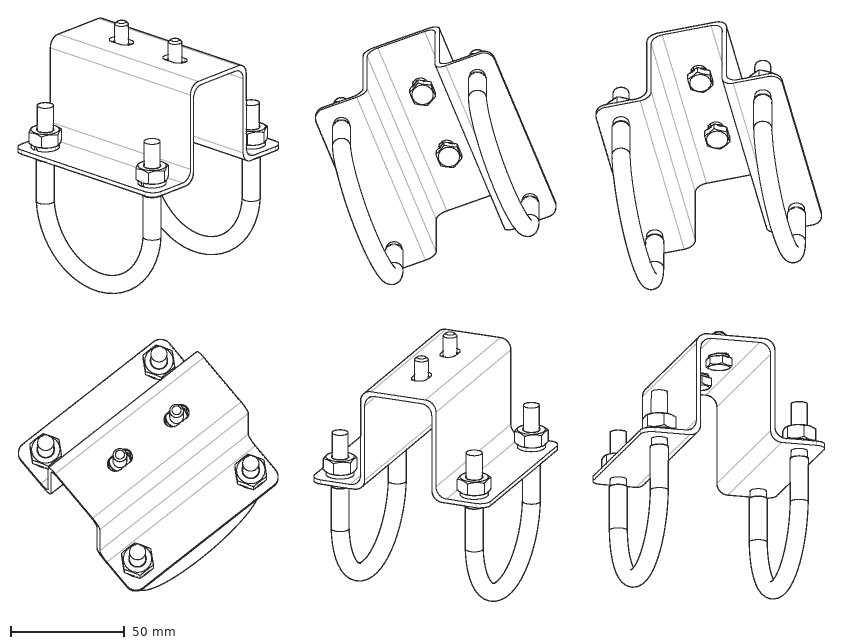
import cadquery as cq
import math

bracket_length = 84.0
bracket_width = 84.0
bracket_height = 47.0
sheet = 2.0
hat_width = 36.0
bend_radius = 5.0
corner_radius = 5.0

slot_length = 12.0
slot_width = 7.0
bolt_pitch = 32.0
bolt_diameter = 6.0
bolt_length = 12.0
bolt_tip_chamfer = 1.0
bolt_head_flats = 10.0
bolt_head_height = 4.0
bolt_head_face = 9.3
bolt_washer_diameter = 9.3
bolt_washer_thickness = 1.0

leg_pitch = 64.0
u_bolt_pitch = 64.0
rod_diameter = 8.0
thread_diameter = 7.1
thread_length = 25.0
stud_top = 21.5
leg_length = 45.0
bow_depth = 29.8

nut_flats = 13.0
nut_height = 6.5
nut_face = 12.4
nut_countersink = 7.7
washer_diameter = 12.4
washer_bore = 8.0
washer_thickness = 1.7
split_straight_side = 0.56
split_narrow = 0.8
split_wide = 1.6

countersink_angle = 90
hex_chamfer_angle = math.radians(30)


def make_bracket():
    """Bent sheet with rounded flange corners and two slots in the crown."""
    outer_half = hat_width / 2
    inner_half = outer_half - sheet
    half_outline = [
        (bracket_width / 2, 0),
        (bracket_width / 2, sheet),
        (outer_half, sheet),
        (outer_half, bracket_height),
    ]
    inner_outline = [(inner_half, bracket_height - sheet), (inner_half, 0)]
    mirrored = [(-y, z) for y, z in reversed(half_outline)]
    mirrored_inner = [(-y, z) for y, z in reversed(inner_outline)]
    sheet_body = (
        cq.Workplane("YZ")
        .polyline(half_outline + mirrored + mirrored_inner + inner_outline)
        .close()
        .extrude(bracket_length / 2, both=True)
    )
    bend_zone = cq.selectors.BoxSelector(
        (-bracket_length, -outer_half - sheet, -sheet),
        (bracket_length, outer_half + sheet, bracket_height + sheet),
    )
    bent = sheet_body.edges("|X").edges(bend_zone).fillet(bend_radius)
    rounded = bent.edges("|Z").edges("<Y or >Y").fillet(corner_radius)
    slots = (
        cq.Workplane("XY", origin=(0, 0, bracket_height - sheet))
        .rarray(bolt_pitch, 1, 2, 1)
        .slot2D(slot_length, slot_width)
        .extrude(sheet)
    )
    return rounded.cut(slots)


def make_hexagon(flats, height, lower_face, upper_face=None):
    """Hexagonal prism on Z = 0 with corners on X, its corners turned to cones that end in round faces.

    lower_face and upper_face are face diameters; without an upper face the top stays sharp.
    """
    corner_reach = flats / 2 / math.cos(math.pi / 6)
    profile = [(0, 0), (lower_face / 2, 0)]
    lower_drop = (corner_reach - lower_face / 2) * math.tan(hex_chamfer_angle)
    profile.append((corner_reach, lower_drop))
    if upper_face is None:
        profile.append((corner_reach, height))
    else:
        upper_drop = (corner_reach - upper_face / 2) * math.tan(hex_chamfer_angle)
        profile.append((corner_reach, height - upper_drop))
        profile.append((upper_face / 2, height))
    profile.append((0, height))
    envelope = cq.Workplane("XZ").polyline(profile).close().revolve(360, (0, 0), (0, 1))
    return cq.Workplane("XY").polygon(6, 2 * corner_reach).extrude(height).intersect(envelope)


def make_bolt():
    """Hexagon bolt hanging under the crown, with a flat washer below the sheet."""
    washer_bottom = bracket_height - sheet - bolt_washer_thickness
    head = make_hexagon(bolt_head_flats, bolt_head_height, lower_face=bolt_head_face)
    head = head.translate((0, 0, washer_bottom - bolt_head_height))
    washer = (
        cq.Workplane("XY", origin=(0, 0, washer_bottom))
        .circle(bolt_washer_diameter / 2)
        .extrude(bolt_washer_thickness)
    )
    shank = (
        cq.Workplane("XY", origin=(0, 0, washer_bottom))
        .circle(bolt_diameter / 2)
        .extrude(bolt_length)
        .faces(">Z")
        .chamfer(bolt_tip_chamfer)
    )
    return head.union(washer).union(shank)


def make_u_bolt():
    """Round rod bent to a U in the XZ plane, with a reduced thread on each leg."""
    half_pitch = leg_pitch / 2
    leg_bottom = stud_top - leg_length
    thread_bottom = stud_top - thread_length
    bow_radius = (half_pitch**2 + bow_depth**2) / (2 * bow_depth)
    bow_center = leg_bottom - bow_depth + bow_radius
    ring = cq.Workplane(
        cq.Solid.makeTorus(bow_radius, rod_diameter / 2, cq.Vector(0, 0, bow_center), cq.Vector(0, 1, 0))
    )
    below_legs = cq.Workplane("XY", origin=(0, 0, leg_bottom)).rect(2 * leg_pitch, leg_pitch).extrude(-leg_pitch)
    legs = (
        cq.Workplane("XY", origin=(0, 0, leg_bottom))
        .rarray(leg_pitch, 1, 2, 1)
        .circle(rod_diameter / 2)
        .extrude(thread_bottom - leg_bottom)
    )
    threads = (
        cq.Workplane("XY", origin=(0, 0, thread_bottom))
        .rarray(leg_pitch, 1, 2, 1)
        .circle(thread_diameter / 2)
        .extrude(thread_length)
    )
    return ring.intersect(below_legs).union(legs).union(threads)


def make_split_washer(flipped):
    """Spring washer on Z = 0, split on its -Y side by a gap with one upright and one slanted face."""
    ring = (
        cq.Workplane("XY")
        .circle(washer_diameter / 2)
        .circle(washer_bore / 2)
        .extrude(washer_thickness)
    )
    gap_profile = [
        (-split_straight_side, 0),
        (split_wide - split_straight_side, 0),
        (split_narrow - split_straight_side, washer_thickness),
        (-split_straight_side, washer_thickness),
    ]
    gap = cq.Workplane("XZ").polyline(gap_profile).close().extrude(washer_diameter)
    washer = ring.cut(gap)
    if flipped:
        washer = washer.rotate((0, 0, washer_thickness / 2), (0, 1, washer_thickness / 2), 180)
    return washer


def make_nut():
    """Hexagon nut on Z = 0 with a bore countersunk at its upper face."""
    nut = make_hexagon(nut_flats, nut_height, lower_face=nut_face, upper_face=nut_face)
    return nut.faces(">Z").workplane().cskHole(thread_diameter, nut_countersink, countersink_angle)


def make_fastener(flipped):
    """Nut with the split washer under it, seated on the flange."""
    washer = make_split_washer(flipped).translate((0, 0, sheet))
    nut = make_nut().translate((0, 0, sheet + washer_thickness))
    return washer.union(nut)


result = make_bracket()

for bolt_x in (-bolt_pitch / 2, bolt_pitch / 2):
    result = result.union(make_bolt().translate((bolt_x, 0, 0)))

for u_bolt_y in (-u_bolt_pitch / 2, u_bolt_pitch / 2):
    result = result.union(make_u_bolt().translate((0, u_bolt_y, 0)))
    for leg_x in (-leg_pitch / 2, leg_pitch / 2):
        result = result.union(make_fastener(flipped=leg_x > 0).translate((leg_x, u_bolt_y, 0)))